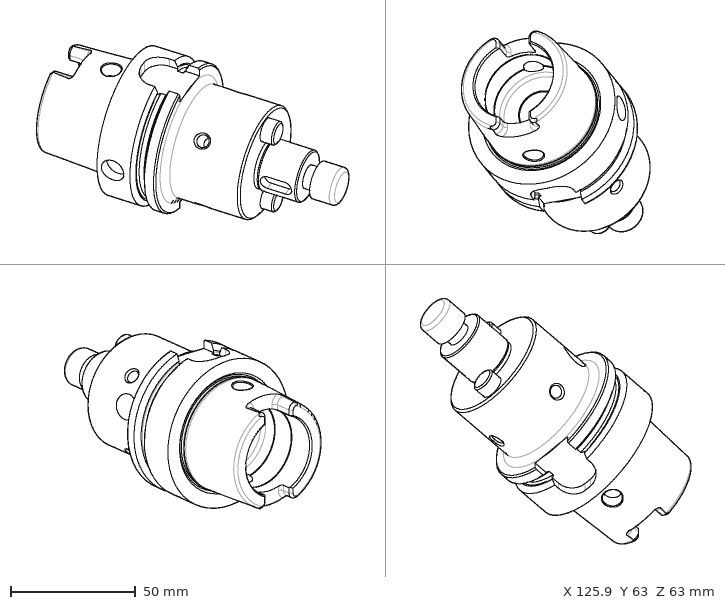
import cadquery as cq


overshoot = 1.0

taper_length = 31.9
taper_tip_radius = 22.7
taper_root_radius = 24.0
taper_tip_fillet = 1.2
relief_start = -2.2
relief_radius = 23.9
collar_start = -1.1
collar_width = 0.35
collar_radius = 24.1
flange_undercut_root = 23.8
flange_undercut_floor_radius = 24.5
flange_undercut_radius = 25.4
flange_undercut_depth = 0.8

flange_radius = 31.5
flange_width = 26.0
flange_chamfer = 0.7
groove_center = 18.0
groove_opening = 6.5
groove_floor_radius = 27.5
groove_floor_width = 3.75
groove_shoulder_radius = 28.9
groove_fillet = 0.8

body_radius = 24.0
body_end = 60.0
body_chamfer = 0.9
neck_fillet = 2.9
pilot_radius = 11.0
pilot_end = 79.0
pilot_chamfer = 0.6
undercut_radius = 10.7
undercut_width = 1.5
undercut_runout = 0.7

bore_mouth_radius = 17.35
bore_radius = 16.85
bore_mouth_depth = 1.0
bore_recess_start = -19.4
bore_recess_end = -8.9
bore_recess_radius = 17.2
bore_floor = -2.0
bore_floor_fillet = 1.4
counterbore_radius = 8.9
counterbore_depth = 12.0
counterbore_chamfer = 0.3
coolant_hole_radius = 4.25

drive_slot_width = 12.5
drive_slot_depths = {1: 10.0, -1: 6.1}
drive_slot_wall_top = 18.0
drive_slot_corner_radius = 2.8
drive_slot_floor_fillet = 1.5
drive_slot_chamfer = 1.2
drive_slot_bottom = 10.0
drive_slot_reach = 32.0

keyway_width = 18.0
keyway_start = 5.0
keyway_corner_radius = 7.5
keyway_floor = 26.4

clamp_hole_radius = 4.0
clamp_hole_x = -9.1
clamp_hole_chamfer = 0.4
chip_hole_radius = 5.0
chip_hole_x = 7.0
chip_hole_depth = 5.0
chip_hole_angle = -90.0
dimple_radius = 5.8
dimple_x = 36.3
dimple_angle = 75.0
set_screw_x = 40.0
set_screw_hole_radius = 2.6
set_screw_rim_radius = 3.5
set_screw_hole_depth = 10.0
set_screw_count = 4

key_width = 6.0
key_length = 14.0
key_center_x = 70.0
key_depth = 4.0

pin_radius = 5.0
pin_offset = 17.5
pin_projection = 5.7
pin_seat_depth = 8.0
pin_start = body_end - pin_seat_depth
pin_chamfer = 0.7

shank_radius = 5.0
shank_start = 55.0
head_radius = 8.0
head_start = 83.6
screw_end = 94.0
head_fillet = 1.6


def axial_cylinder(radius, start, end, z=0.0):
    """Cylinder along X between two stations, its axis raised to height z."""
    return cq.Workplane("YZ", origin=(start, 0, z)).circle(radius).extrude(end - start)


def on_side(cutter, side):
    """Leave a cutter made on +Z in place, or swing it half a turn about X when side is -1."""
    return cutter if side > 0 else cutter.rotate((0, 0, 0), (1, 0, 0), 180)


def radial_hole(radius, x, angle, outer_radius, depth):
    """Radial cutter at station x, sunk to a depth below outer_radius; angle turns from +Z towards +Y."""
    hole = cq.Workplane("XY", origin=(x, 0, outer_radius - depth)).circle(radius).extrude(depth + overshoot)
    return hole.rotate((0, 0, 0), (1, 0, 0), -angle)


def radial_cone(rim_radius, x, angle, outer_radius, depth):
    """Radial 90-degree cone cutter whose radius is rim_radius at outer_radius, tapering inward over depth."""
    cone = cq.Solid.makeCone(
        rim_radius - depth,
        rim_radius + overshoot,
        depth + overshoot,
        cq.Vector(x, 0, outer_radius - depth),
    )
    return cq.Workplane(obj=cone).rotate((0, 0, 0), (1, 0, 0), -angle)


def turned_blank():
    """Outside of the holder, turned in one profile."""
    half_opening = groove_opening / 2
    half_floor = groove_floor_width / 2
    profile = (
        cq.Workplane("XY")
        .moveTo(-taper_length, 0)
        .lineTo(-taper_length, taper_tip_radius - taper_tip_fillet)
        .radiusArc((-taper_length + taper_tip_fillet, taper_tip_radius), taper_tip_fillet)
        .lineTo(relief_start, taper_root_radius)
        .lineTo(collar_start, relief_radius)
        .lineTo(collar_start, collar_radius)
        .lineTo(collar_start + collar_width, collar_radius)
        .lineTo(flange_undercut_depth, flange_undercut_root)
        .lineTo(flange_undercut_depth, flange_undercut_floor_radius)
        .lineTo(0, flange_undercut_radius)
        .lineTo(0, flange_radius)
        .lineTo(groove_center - half_opening, flange_radius)
        .lineTo(groove_center - half_floor, groove_shoulder_radius)
        .lineTo(groove_center - half_floor, groove_floor_radius + groove_fillet)
        .radiusArc((groove_center - half_floor + groove_fillet, groove_floor_radius), -groove_fillet)
        .lineTo(groove_center + half_floor - groove_fillet, groove_floor_radius)
        .radiusArc((groove_center + half_floor, groove_floor_radius + groove_fillet), -groove_fillet)
        .lineTo(groove_center + half_floor, groove_shoulder_radius)
        .lineTo(groove_center + half_opening, flange_radius)
        .lineTo(flange_width - flange_chamfer, flange_radius)
        .lineTo(flange_width, flange_radius - flange_chamfer)
        .lineTo(flange_width, body_radius + neck_fillet)
        .radiusArc((flange_width + neck_fillet, body_radius), -neck_fillet)
        .lineTo(body_end - body_chamfer, body_radius)
        .lineTo(body_end, body_radius - body_chamfer)
        .lineTo(body_end, undercut_radius)
        .lineTo(body_end + undercut_width, undercut_radius)
        .lineTo(body_end + undercut_width + undercut_runout, pilot_radius)
        .lineTo(pilot_end - pilot_chamfer, pilot_radius)
        .lineTo(pilot_end, pilot_radius - pilot_chamfer)
        .lineTo(pilot_end, 0)
        .close()
    )
    return profile.revolve(360, (0, 0, 0), (1, 0, 0))


def cut_clamp_holes(blank):
    """Cross hole along Z through the taper, with both mouths chamfered."""
    cross_hole = cq.Workplane("XY", origin=(clamp_hole_x, 0, 0)).circle(clamp_hole_radius)
    drilled = blank.cut(cross_hole.extrude(flange_radius, both=True))
    for side in (1, -1):
        mouth_point = (clamp_hole_x + clamp_hole_radius, 0, side * taper_root_radius)
        mouth = cq.selectors.NearestToPointSelector(mouth_point)
        drilled = drilled.edges(mouth).chamfer(clamp_hole_chamfer)
    return drilled


def hollow():
    """Clamping bore, coolant tube counterbore and the hole that leads to the screw."""
    bore = (
        cq.Workplane("XY")
        .moveTo(-taper_length, 0)
        .lineTo(-taper_length, bore_mouth_radius)
        .lineTo(-taper_length + bore_mouth_depth, bore_radius)
        .lineTo(bore_recess_start, bore_radius)
        .lineTo(bore_recess_start, bore_recess_radius)
        .lineTo(bore_recess_end, bore_recess_radius)
        .lineTo(bore_recess_end, bore_radius)
        .lineTo(bore_floor - bore_floor_fillet, bore_radius)
        .radiusArc((bore_floor, bore_radius - bore_floor_fillet), bore_floor_fillet)
        .lineTo(bore_floor, 0)
        .close()
        .revolve(360, (0, 0, 0), (1, 0, 0))
    )
    counterbore = (
        axial_cylinder(counterbore_radius, bore_floor, bore_floor + counterbore_depth)
        .faces("<X")
        .workplane()
        .circle(counterbore_radius + counterbore_chamfer)
        .extrude(-counterbore_chamfer, taper=45)
    )
    coolant_hole = axial_cylinder(coolant_hole_radius, bore_floor, shank_start)
    return bore.union(counterbore).union(coolant_hole)


def drive_slot_outline(growth=0.0):
    """Slot section on the taper tip: a narrow throat that opens through rounded corners."""
    half_width = drive_slot_width / 2 + growth
    corner = drive_slot_corner_radius - growth
    shelf = drive_slot_wall_top + corner
    reach = drive_slot_reach + growth
    return (
        cq.Workplane("YZ", origin=(-taper_length, 0, 0))
        .moveTo(-half_width, drive_slot_bottom - growth)
        .lineTo(half_width, drive_slot_bottom - growth)
        .lineTo(half_width, drive_slot_wall_top)
        .radiusArc((half_width + corner, shelf), corner)
        .lineTo(reach, shelf)
        .lineTo(reach, reach)
        .lineTo(-reach, reach)
        .lineTo(-reach, shelf)
        .lineTo(-half_width - corner, shelf)
        .radiusArc((-half_width, drive_slot_wall_top), corner)
        .close()
    )


def drive_slot(side, depth):
    """Cutter for one drive slot, with its floor fillet and chamfered mouth; side is +1 or -1 along Z."""
    throat = drive_slot_outline().extrude(depth).faces(">X").edges().fillet(drive_slot_floor_fillet)
    mouth = drive_slot_outline(drive_slot_chamfer).extrude(drive_slot_chamfer, taper=45)
    cutter = throat.union(mouth)
    return on_side(cutter, side)


def keyway(side):
    """Cutter for one flange keyway, rounded towards the taper and open towards the body."""
    length = flange_width - keyway_start
    slot = (
        cq.Workplane("XY", origin=(keyway_start + length / 2, 0, keyway_floor))
        .rect(length, keyway_width)
        .extrude(flange_radius - keyway_floor + overshoot)
        .edges("|Z and <X")
        .fillet(keyway_corner_radius)
    )
    return on_side(slot, side)


def set_screw_hole(angle):
    """Countersunk radial hole for a set screw."""
    hole = radial_hole(set_screw_hole_radius, set_screw_x, angle, body_radius, set_screw_hole_depth)
    countersink_depth = set_screw_rim_radius - set_screw_hole_radius
    return hole.union(radial_cone(set_screw_rim_radius, set_screw_x, angle, body_radius, countersink_depth))


def key_pocket():
    """Round-ended key pocket on the -Y side of the pilot."""
    return (
        cq.Workplane("XZ", origin=(key_center_x, key_depth - pilot_radius, 0))
        .slot2D(key_length, key_width)
        .extrude(key_depth + overshoot)
    )


def make_holder():
    """Holder body with its slots, keyways, holes and the seats for the pins and screw."""
    holder = cut_clamp_holes(turned_blank()).cut(hollow())
    for side, depth in drive_slot_depths.items():
        holder = holder.cut(drive_slot(side, depth)).cut(keyway(side))
        holder = holder.cut(axial_cylinder(pin_radius, pin_start, body_end, side * pin_offset))
    chip_hole = radial_hole(chip_hole_radius, chip_hole_x, chip_hole_angle, flange_radius, chip_hole_depth)
    holder = holder.cut(chip_hole)
    holder = holder.cut(radial_cone(dimple_radius, dimple_x, dimple_angle, body_radius, dimple_radius))
    for index in range(set_screw_count):
        holder = holder.cut(set_screw_hole((index + 0.5) * 360 / set_screw_count))
    holder = holder.cut(key_pocket())
    return holder.cut(axial_cylinder(shank_radius, shank_start, pilot_end))


def make_drive_pin(side):
    """Drive pin seated in the body end face; side is +1 or -1 along Z."""
    pin = axial_cylinder(pin_radius, pin_start, body_end + pin_projection, side * pin_offset)
    return pin.faces(">X").edges().chamfer(pin_chamfer)


def make_screw():
    """Clamping screw with a round head, its shank seated in the pilot."""
    head = axial_cylinder(head_radius, head_start, screw_end).faces(">X").edges().fillet(head_fillet)
    return head.union(axial_cylinder(shank_radius, shank_start, head_start))


holder = make_holder()
drive_pins = [make_drive_pin(side) for side in (1, -1)]
screw = make_screw()

result = cq.Compound.makeCompound([holder.val(), *[pin.val() for pin in drive_pins], screw.val()])